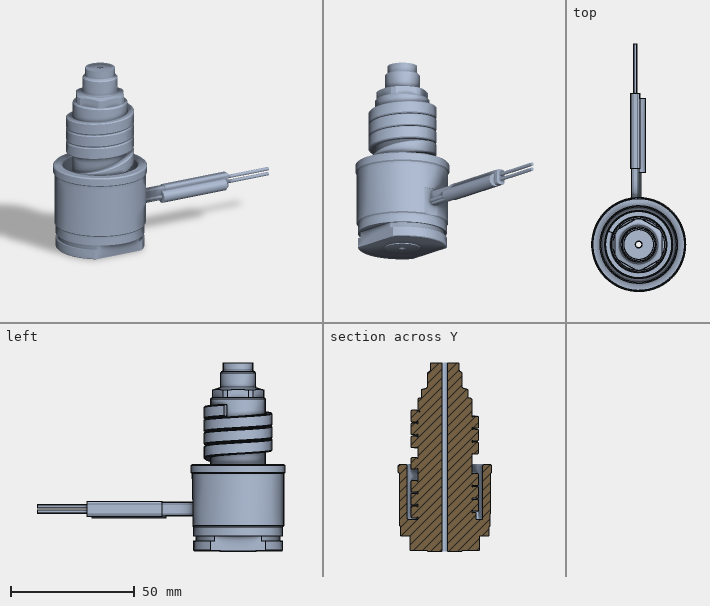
import cadquery as cq
import math

TOTAL_HEIGHT = 76.2
BORE_RADIUS = 1.3

FOOT_RADIUS = 18.0
FOOT_GROOVE_RADIUS = 17.0
FOOT_GROOVE_BOTTOM = 4.2
FOOT_GROOVE_TOP = 6.3
FOOT_FLAT_OFFSET = 14.1
FOOT_BEVEL = 0.3
PAD_RADIUS = 7.2
PAD_HEIGHT = 0.3

HOUSING_RADIUS = 18.5
HOUSING_BOTTOM = 10.0
HOUSING_TOP = 35.2
HOUSING_BEVEL = 0.5
RIM_RADIUS = 19.0
RIM_HEIGHT = 3.2
RIM_BEVEL = 0.5
CUP_RADIUS = 15.2
CUP_FLOOR = 13.0
CUP_FLOOR_FILLET = 0.5
CUP_BEVEL = 0.5
CABLE_FLAT_OFFSET = 18.2
CABLE_FLAT_TOP = 21.2

CORE_DIAMETER = 22.1
CORE_RADIUS = CORE_DIAMETER / 2
CORE_TOP = 62.2
CORE_BEVEL = 0.6

HEX_ACROSS_FLATS = 19.0
HEX_CORNER_RADIUS = 10.4
HEX_SHOULDER = 65.2
HEX_CONE_TOP = 66.0
HEX_CONE_RADIUS = 7.8

NOZZLE_RADIUS = 7.1
NOZZLE_TOP = 72.2
NOZZLE_BEVEL = 0.5
TIP_RADIUS = 6.0
TIP_FILLET = 0.6

SPRING_OUTER_DIAMETER = 27.5
SPRING_OUTER_RADIUS = SPRING_OUTER_DIAMETER / 2
SPRING_INNER_RADIUS = 11.0
SPRING_TOP = 59.5
COIL_HEIGHT = 4.9
COIL_BEVEL = 0.4
CLOSE_PITCH = 5.2
STEEP_PITCH = 22.0
TOP_END_ANGLE = 156.0
CLOSE_SWEEP = 1094.0
BLEND_SWEEP = 142.0
STEEP_SWEEP = 20.0
HALF_SWEEP = CLOSE_SWEEP + BLEND_SWEEP + STEEP_SWEEP / 2
POINTS_PER_TURN = 36

CABLE_X = -1.4
CABLE_Z = 17.2
CABLE_WIDTH = 3.2
CABLE_HEIGHT = 5.6
CABLE_FILLET = 0.7
CABLE_START = 16.5
SLEEVE_WIDTH = 3.8
SLEEVE_HEIGHT = 6.2
SLEEVE_FILLET = 1.0
SLEEVE_START = 30.8
SLEEVE_LENGTH = 30.2
WIRE_DIAMETER = 1.4
WIRE_SPACING = 2.1
WIRE_END = 81.0

LEAD_X = 0.3
LEAD_Z = 16.0
LEAD_RADIUS = 0.7
LEAD_SLEEVE_RADIUS = 2.5
LEAD_SLEEVE_START = 29.0
LEAD_SLEEVE_LENGTH = 30.0


def cylinder(radius, bottom, top):
    return cq.Workplane("XY").workplane(offset=bottom).circle(radius).extrude(top - bottom)


def make_foot():
    pad = cylinder(PAD_RADIUS, 0, PAD_HEIGHT)
    base = cylinder(FOOT_RADIUS, PAD_HEIGHT, FOOT_GROOVE_BOTTOM).faces("<Z").chamfer(FOOT_BEVEL)
    groove = cylinder(FOOT_GROOVE_RADIUS, FOOT_GROOVE_BOTTOM, FOOT_GROOVE_TOP)
    flats = cq.Workplane("XY").box(
        2 * FOOT_FLAT_OFFSET, 2 * FOOT_RADIUS, FOOT_GROOVE_TOP, centered=(True, True, False)
    )
    collar = cylinder(FOOT_RADIUS, FOOT_GROOVE_TOP, HOUSING_BOTTOM)
    return pad.union(base).union(groove).intersect(flats).union(collar)


def make_housing():
    rim_bottom = HOUSING_TOP - RIM_HEIGHT
    rim_step = RIM_RADIUS - HOUSING_RADIUS
    shell = (
        cq.Workplane("XZ")
        .moveTo(0, HOUSING_BOTTOM)
        .lineTo(HOUSING_RADIUS - HOUSING_BEVEL, HOUSING_BOTTOM)
        .lineTo(HOUSING_RADIUS, HOUSING_BOTTOM + HOUSING_BEVEL)
        .lineTo(HOUSING_RADIUS, rim_bottom - rim_step)
        .lineTo(RIM_RADIUS, rim_bottom)
        .lineTo(RIM_RADIUS, HOUSING_TOP - RIM_BEVEL)
        .lineTo(RIM_RADIUS - RIM_BEVEL, HOUSING_TOP)
        .lineTo(CUP_RADIUS + CUP_BEVEL, HOUSING_TOP)
        .lineTo(CUP_RADIUS, HOUSING_TOP - CUP_BEVEL)
        .lineTo(CUP_RADIUS, CUP_FLOOR + CUP_FLOOR_FILLET)
        .radiusArc((CUP_RADIUS - CUP_FLOOR_FILLET, CUP_FLOOR), CUP_FLOOR_FILLET)
        .lineTo(0, CUP_FLOOR)
        .close()
        .revolve(360, (0, 0, 0), (0, 1, 0))
    )
    cable_flat = cq.Workplane("XY").box(
        2 * HOUSING_RADIUS, HOUSING_RADIUS, CABLE_FLAT_TOP - HOUSING_BOTTOM, centered=(True, False, False)
    )
    return shell.cut(cable_flat.translate((0, CABLE_FLAT_OFFSET, HOUSING_BOTTOM)))


def make_core():
    return cylinder(CORE_RADIUS, HOUSING_BOTTOM, CORE_TOP).faces(">Z").chamfer(CORE_BEVEL)


def make_hex_nut():
    cone = (
        cq.Workplane("XZ")
        .moveTo(0, CORE_TOP)
        .lineTo(HEX_CORNER_RADIUS, CORE_TOP)
        .lineTo(HEX_CORNER_RADIUS, HEX_SHOULDER)
        .lineTo(HEX_CONE_RADIUS, HEX_CONE_TOP)
        .lineTo(0, HEX_CONE_TOP)
        .close()
        .revolve(360, (0, 0, 0), (0, 1, 0))
    )
    hexagon = (
        cq.Workplane("XY")
        .workplane(offset=CORE_TOP)
        .polygon(6, HEX_ACROSS_FLATS, circumscribed=True)
        .extrude(HEX_CONE_TOP - CORE_TOP)
    )
    return cone.intersect(hexagon)


def make_nozzle():
    root_fillet = HEX_CONE_RADIUS - NOZZLE_RADIUS
    tip_step = NOZZLE_TOP + NOZZLE_BEVEL
    return (
        cq.Workplane("XZ")
        .moveTo(0, HEX_CONE_TOP)
        .lineTo(HEX_CONE_RADIUS, HEX_CONE_TOP)
        .radiusArc((NOZZLE_RADIUS, HEX_CONE_TOP + root_fillet), root_fillet)
        .lineTo(NOZZLE_RADIUS, NOZZLE_TOP)
        .lineTo(TIP_RADIUS + TIP_FILLET, tip_step)
        .radiusArc((TIP_RADIUS, tip_step + TIP_FILLET), TIP_FILLET)
        .lineTo(TIP_RADIUS, TOTAL_HEIGHT)
        .lineTo(0, TOTAL_HEIGHT)
        .close()
        .revolve(360, (0, 0, 0), (0, 1, 0))
    )


def half_spring_drop(sweep):
    """Fall after `sweep` degrees: close coils, a pitch that grows evenly, then the steep pitch."""
    close = min(sweep, CLOSE_SWEEP)
    blend = min(sweep - close, BLEND_SWEEP)
    steep = sweep - close - blend
    blend_end_pitch = CLOSE_PITCH + (STEEP_PITCH - CLOSE_PITCH) * blend / BLEND_SWEEP
    blend_mean_pitch = (CLOSE_PITCH + blend_end_pitch) / 2
    return (close * CLOSE_PITCH + blend * blend_mean_pitch + steep * STEEP_PITCH) / 360


def coil_drop(sweep):
    """Fall of the coil below its top end; the lower half of the spring mirrors the upper half."""
    if sweep <= HALF_SWEEP:
        return half_spring_drop(sweep)
    return 2 * half_spring_drop(HALF_SWEEP) - half_spring_drop(2 * HALF_SWEEP - sweep)


def make_spring():
    """Bevelled rectangular section wound clockwise and down from the top end."""
    low = -COIL_HEIGHT
    section = [
        (SPRING_INNER_RADIUS + COIL_BEVEL, 0),
        (SPRING_OUTER_RADIUS - COIL_BEVEL, 0),
        (SPRING_OUTER_RADIUS, -COIL_BEVEL),
        (SPRING_OUTER_RADIUS, low + COIL_BEVEL),
        (SPRING_OUTER_RADIUS - COIL_BEVEL, low),
        (SPRING_INNER_RADIUS + COIL_BEVEL, low),
        (SPRING_INNER_RADIUS, low + COIL_BEVEL),
        (SPRING_INNER_RADIUS, -COIL_BEVEL),
    ]
    total_sweep = 2 * HALF_SWEEP
    steps = math.ceil(total_sweep / 360 * POINTS_PER_TURN)

    def corner_point(radius, height, sweep):
        angle = math.radians(TOP_END_ANGLE - sweep)
        return cq.Vector(
            radius * math.cos(angle), radius * math.sin(angle), SPRING_TOP + height - coil_drop(sweep)
        )

    def corner_path(radius, height):
        return cq.Edge.makeSpline(
            [corner_point(radius, height, total_sweep * i / steps) for i in range(steps + 1)]
        )

    paths = [corner_path(radius, height) for radius, height in section]
    faces = [cq.Face.makeRuledSurface(paths[i - 1], paths[i]) for i in range(len(paths))]
    for sweep in (0, total_sweep):
        outline = [corner_point(radius, height, sweep) for radius, height in section]
        faces.append(cq.Face.makeFromWires(cq.Wire.makePolygon(outline, close=True)))
    return cq.Workplane(cq.Solid.makeSolid(cq.Shell.makeShell(faces)))


def plane_across_cable(x, y, z):
    return cq.Workplane(cq.Plane(origin=(x, y, z), xDir=(1, 0, 0), normal=(0, 1, 0)))


def make_cable():
    cable = plane_across_cable(CABLE_X, CABLE_START, CABLE_Z).rect(CABLE_WIDTH, CABLE_HEIGHT)
    cable = cable.extrude(SLEEVE_START - CABLE_START).edges("|Y").fillet(CABLE_FILLET)
    sleeve = plane_across_cable(CABLE_X, SLEEVE_START, CABLE_Z).rect(SLEEVE_WIDTH, SLEEVE_HEIGHT)
    sleeve = sleeve.extrude(SLEEVE_LENGTH).edges("|Y").fillet(SLEEVE_FILLET)
    wire_start = SLEEVE_START + SLEEVE_LENGTH
    wires = (
        plane_across_cable(CABLE_X, wire_start, CABLE_Z)
        .pushPoints([(0, WIRE_SPACING / 2), (0, -WIRE_SPACING / 2)])
        .circle(WIRE_DIAMETER / 2)
        .extrude(WIRE_END - wire_start)
    )
    return cable.union(sleeve).union(wires)


def make_lead():
    lead = plane_across_cable(LEAD_X, CABLE_START, LEAD_Z).circle(LEAD_RADIUS)
    lead = lead.extrude(LEAD_SLEEVE_START - CABLE_START)
    sleeve = plane_across_cable(LEAD_X, LEAD_SLEEVE_START, LEAD_Z).circle(LEAD_SLEEVE_RADIUS)
    return lead.union(sleeve.extrude(LEAD_SLEEVE_LENGTH))


stem = make_core().union(make_hex_nut()).union(make_nozzle())
body = make_foot().union(make_housing()).union(stem).union(make_spring())
body = body.union(make_cable()).union(make_lead())
result = body.cut(cylinder(BORE_RADIUS, 0, TOTAL_HEIGHT))